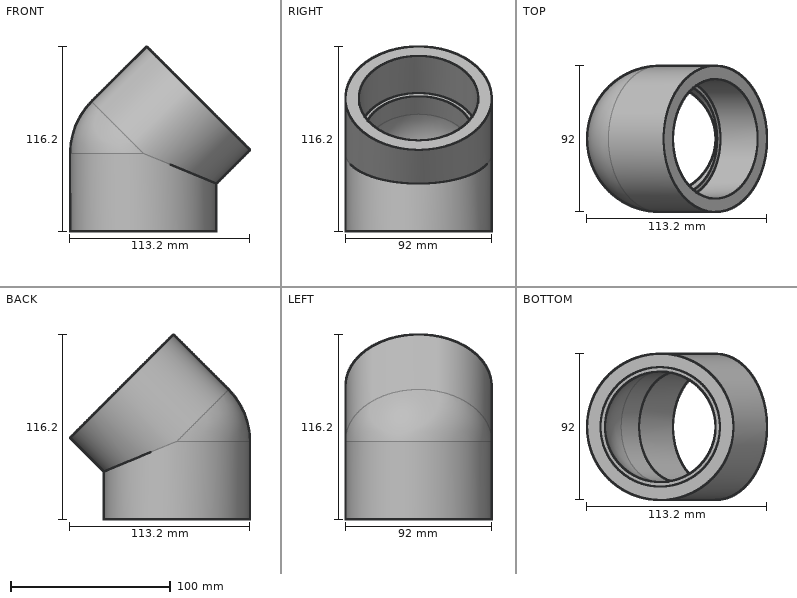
import cadquery as cq
import math

outer_diameter = 92.0
socket_diameter = 75.0
bore_diameter = 69.4
overall_height = 116.2
socket_depth = 33.0
bend_angle = 45

outer_radius = outer_diameter / 2
socket_radius = socket_diameter / 2
bore_radius = bore_diameter / 2
bend = math.radians(bend_angle)
leg_length = (overall_height - outer_radius * math.sin(bend)) / (1 + math.cos(bend))
shoulder_distance = leg_length - socket_depth

lower_axis = cq.Plane(origin=(0, 0, 0), xDir=(1, 0, 0), normal=(0, 0, -1))
upper_axis = cq.Plane.XY().rotated((0, bend_angle, 0))
leg_axes = (lower_axis, upper_axis)


def rounded_elbow(radius):
    """Two cylinders running out from a sphere at the bend centre."""
    elbow = cq.Workplane("XY").sphere(radius)
    for axis in leg_axes:
        elbow = elbow.union(cq.Workplane(axis).circle(radius).extrude(leg_length))
    return elbow


def pipe_socket(axis):
    """Wider bore from the shoulder to the open end of a leg."""
    floor = cq.Workplane(axis).workplane(offset=shoulder_distance)
    return floor.circle(socket_radius).extrude(socket_depth)


body = rounded_elbow(outer_radius).cut(rounded_elbow(bore_radius))
for leg_axis in leg_axes:
    body = body.cut(pipe_socket(leg_axis))

result = body.translate((0, 0, leg_length))